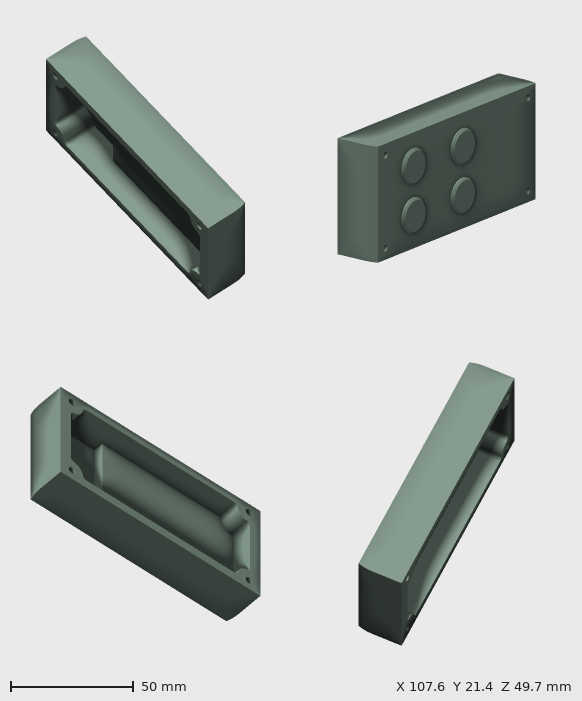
import cadquery as cq
import math

length = 107.6
height = 49.7
total_depth = 21.4
button_height = 1.5
body_depth = total_depth - button_height
front_y = 0.0
back_y = front_y + body_depth
half_length = length / 2
half_height = height / 2

side_curve_depth = 6.5
side_curve_inset = 1.1

screw_x = 47.7
screw_z = 19.9
boss_x = 47.3
boss_z = screw_z
boss_radius = 5.7
screw_mouth_diameter = 3.4
screw_core_diameter = 2.8

cavity_half_length = 48.3
cavity_half_height = 20.5
cavity_fillet = 1.8
deep_floor_depth = 15.1
shallow_floor_depth = 10.2
step_x = -22.5

screw_mouth_depth = deep_floor_depth

button_diameter = 15.4
button_chamfer = 1.0
button_column_x = (-3.5, 29.4)
button_row_z = 10.5


def make_body():
    """Block whose short sides end in an arc tangent to the flat side."""
    radius = (side_curve_depth**2 + side_curve_inset**2) / (2 * side_curve_inset)
    half_angle = math.asin(side_curve_depth / radius) / 2
    curve_start_y = back_y - side_curve_depth
    back_x = half_length - side_curve_inset
    middle_x = half_length - radius * (1 - math.cos(half_angle))
    middle_y = curve_start_y + radius * math.sin(half_angle)
    return (
        cq.Workplane("XY")
        .workplane(offset=-half_height)
        .moveTo(-half_length, front_y)
        .lineTo(half_length, front_y)
        .lineTo(half_length, curve_start_y)
        .threePointArc((middle_x, middle_y), (back_x, back_y))
        .lineTo(-back_x, back_y)
        .threePointArc((-middle_x, middle_y), (-half_length, curve_start_y))
        .close()
        .extrude(height)
    )


def box_between(x_min, x_max, depth):
    """Full-height cavity box going from the open face to the given depth."""
    return (
        cq.Workplane("XY")
        .box(x_max - x_min, depth, 2 * cavity_half_height, centered=(False, False, True))
        .translate((x_min, front_y, 0))
    )


def rods(points, diameter, start_y, rod_length):
    """Round rods along +Y at the given (x, z) points."""
    tools = cq.Workplane("XY")
    for x, z in points:
        start = cq.Vector(x, start_y, z)
        rod = cq.Solid.makeCylinder(diameter / 2, rod_length, start, cq.Vector(0, 1, 0))
        tools = tools.add(rod)
    return tools.combine()


screw_points = [(x, z) for x in (-screw_x, screw_x) for z in (-screw_z, screw_z)]
boss_points = [(x, z) for x in (-boss_x, boss_x) for z in (-boss_z, boss_z)]
button_points = [(x, z) for x in button_column_x for z in (-button_row_z, button_row_z)]


def make_cavity():
    """Cavity rounded around the four bosses, with a shallower floor right of the step."""
    left = box_between(-cavity_half_length, step_x, deep_floor_depth)
    right = box_between(step_x, cavity_half_length, shallow_floor_depth)
    bosses = rods(boss_points, 2 * boss_radius, front_y, deep_floor_depth)
    left = left.cut(bosses).edges("|Y").edges("not >X").fillet(cavity_fillet)
    right = right.cut(bosses).edges("|Y").edges("not <X").fillet(cavity_fillet)
    return left.union(right)


def make_buttons():
    """Round buttons with a chamfered rim, standing on the back face."""
    return rods(button_points, button_diameter, back_y, button_height).faces(">Y").chamfer(button_chamfer)


result = (
    make_body()
    .cut(make_cavity())
    .cut(rods(screw_points, screw_core_diameter, front_y, body_depth))
    .cut(rods(screw_points, screw_mouth_diameter, front_y, screw_mouth_depth))
    .union(make_buttons())
)